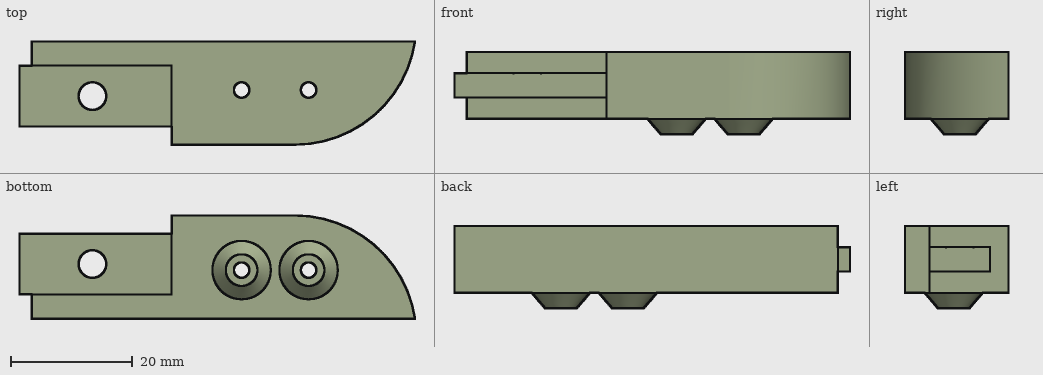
import cadquery as cq
import math

LENGTH = 65.0
WIDTH = 17.0
HEIGHT = 11.0
NOSE_RADIUS = 20.0

TONGUE_LENGTH = 25.0
TONGUE_WIDTH = 10.0
TONGUE_THICKNESS = 4.0
RAIL_WIDTH = 4.0
RAIL_SETBACK = 2.0
TONGUE_HOLE_DIAMETER = 4.5
TONGUE_HOLE_X = 12.0

STUD_X = 36.5
STUD_SPACING = 11.0
STUD_COUNT = 2
STUD_Y = 9.0
STUD_HEIGHT = 2.54
STUD_BASE_DIAMETER = 9.6
STUD_TIP_DIAMETER = 5.2
STUD_HOLE_DIAMETER = 2.5

NOSE_RISE = WIDTH - NOSE_RADIUS
NOSE_START_X = LENGTH - math.sqrt(NOSE_RADIUS**2 - NOSE_RISE**2)
NOSE_SWEEP = math.pi / 2 + math.asin(NOSE_RISE / NOSE_RADIUS)
NOSE_MIDDLE = (
    NOSE_START_X + NOSE_RADIUS * math.sin(NOSE_SWEEP / 2),
    NOSE_RADIUS * (1 - math.cos(NOSE_SWEEP / 2)),
)

RAIL_FRONT_Y = WIDTH - RAIL_WIDTH
TONGUE_FRONT_Y = RAIL_FRONT_Y - TONGUE_WIDTH
TONGUE_BOTTOM_Z = (HEIGHT - TONGUE_THICKNESS) / 2


def make_body():
    """Full-height block with the rounded nose and the side rail."""
    return (
        cq.Workplane("XY")
        .moveTo(TONGUE_LENGTH, 0)
        .lineTo(NOSE_START_X, 0)
        .threePointArc(NOSE_MIDDLE, (LENGTH, WIDTH))
        .lineTo(RAIL_SETBACK, WIDTH)
        .lineTo(RAIL_SETBACK, RAIL_FRONT_Y)
        .lineTo(TONGUE_LENGTH, RAIL_FRONT_Y)
        .close()
        .extrude(HEIGHT)
    )


def make_tongue():
    """Flat tongue centred in the height, running along the rail."""
    return (
        cq.Workplane("XY", origin=(0, TONGUE_FRONT_Y, TONGUE_BOTTOM_Z))
        .rect(TONGUE_LENGTH, TONGUE_WIDTH, centered=False)
        .extrude(TONGUE_THICKNESS)
    )


def make_stud(x):
    """Cone frustum hanging from the underside, narrowing downwards."""
    return (
        cq.Workplane("XY", origin=(x, STUD_Y, 0))
        .circle(STUD_BASE_DIAMETER / 2)
        .workplane(offset=-STUD_HEIGHT)
        .circle(STUD_TIP_DIAMETER / 2)
        .loft(ruled=True)
    )


def make_hole(x, y, diameter):
    """Vertical cutter from the stud tips to the top face."""
    return (
        cq.Workplane("XY", origin=(x, y, -STUD_HEIGHT))
        .circle(diameter / 2)
        .extrude(STUD_HEIGHT + HEIGHT)
    )


result = make_body().union(make_tongue())

for index in range(STUD_COUNT):
    stud_x = STUD_X + index * STUD_SPACING
    result = result.union(make_stud(stud_x))
    result = result.cut(make_hole(stud_x, STUD_Y, STUD_HOLE_DIAMETER))

tongue_middle_y = TONGUE_FRONT_Y + TONGUE_WIDTH / 2
result = result.cut(make_hole(TONGUE_HOLE_X, tongue_middle_y, TONGUE_HOLE_DIAMETER))